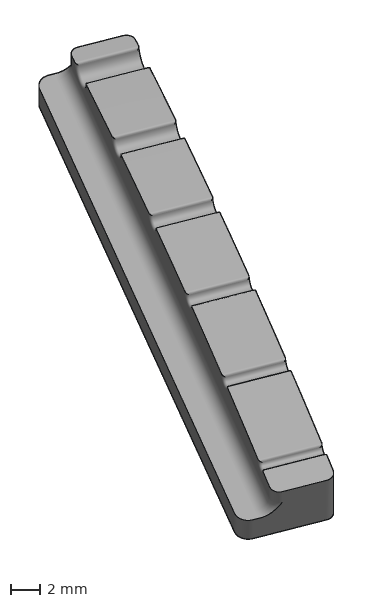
import cadquery as cq
import math

length = 43.0
depth = 7.0
height = 5.3
back_y = depth / 2

ledge_height = 1.95
wall_depth = 4.6
cove_radius = 1.0

wall_corner_radius = 0.7
ledge_corner_radius = 1.0

crown_drop = 1.25
crown_radius = ((length / 2) ** 2 + crown_drop ** 2) / (2 * crown_drop)

slot_row_span = 37.93
slot_row_center = 0.035
slot_radii = [1.0, 0.77, 0.6, 0.5, 0.45, 0.35]
slot_pitch = slot_row_span / (len(slot_radii) - 1)
slot_rim_radius = 0.2


def crown_z(x):
    """Height of the crowned top at position x."""
    return height - crown_radius + math.sqrt(crown_radius ** 2 - x ** 2)


def back_aligned_block(block_depth, front_corner_radius):
    """Full-height block flush with the back face, with rounded vertical corners."""
    return (
        cq.Workplane("XY")
        .center(0, back_y - block_depth / 2)
        .rect(length, block_depth)
        .extrude(height)
        .edges("|Z and >Y")
        .fillet(wall_corner_radius)
        .edges("|Z and <Y")
        .fillet(front_corner_radius)
    )


def wall_on_coved_base():
    """Wall whose foot flares into the ledge, trimmed to the part's footprint."""
    plate_margin = 2 * cove_radius
    plate = cq.Workplane("XY").box(
        length + 2 * plate_margin,
        depth + 2 * plate_margin,
        ledge_height,
        centered=(True, True, False),
    )
    wall = back_aligned_block(wall_depth, wall_corner_radius)
    foot_band = 0.02
    foot = cq.selectors.BoxSelector(
        (-length, -depth, ledge_height - foot_band),
        (length, depth, ledge_height + foot_band),
    )
    plate_rim = cq.selectors.StringSyntaxSelector("<X or >X or <Y or >Y")
    flared = plate.union(wall).edges(foot - plate_rim).fillet(cove_radius)
    return flared.intersect(back_aligned_block(depth, ledge_corner_radius))


def crown_envelope():
    """Everything below the crowned top."""
    end_z = crown_z(length / 2)
    return (
        cq.Workplane("XZ", origin=(0, back_y, 0))
        .moveTo(-length / 2, 0)
        .lineTo(-length / 2, end_z)
        .threePointArc((0, height), (length / 2, end_z))
        .lineTo(length / 2, 0)
        .close()
        .extrude(depth)
    )


def cut_string_slot(body, x, radius):
    """Cut one half-round slot centred on the crown and round its rim."""
    z = crown_z(x)
    cutter = cq.Workplane("XZ", origin=(x, back_y, z)).circle(radius).extrude(depth)
    slotted = body.cut(cutter)
    reach = radius + slot_rim_radius
    rim = cq.selectors.BoxSelector(
        (x - reach, -depth, z - reach),
        (x + reach, depth, z + reach),
    )
    return slotted.edges(rim).fillet(slot_rim_radius)


result = wall_on_coved_base().intersect(crown_envelope())
for index, radius in enumerate(slot_radii):
    slot_x = slot_row_center - slot_row_span / 2 + slot_pitch * index
    result = cut_string_slot(result, slot_x, radius)